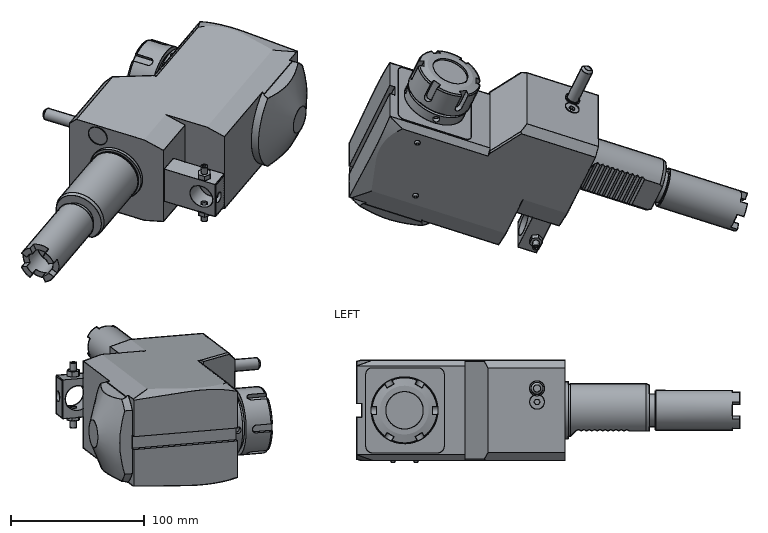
import cadquery as cq
import math


OVERALL_X = 163.5
OVERALL_Y = 286.25

HALF_H = 37.5
HOUSING_LEN = 155.75
FOOT_X = (-40.0, 39.0)
HEAD_X = (-9.75, 72.0)
HEAD_START_Y = 35.5
SHOULDER_Y = 75.0
SHOULDER_ANGLE = 30.0
SHOULDER_EDGE = 1.2
FOOT_BEVEL = 6.0
HEAD_BEVEL = 4.5
TAPER_ANGLE = math.radians(15.0)
TAPER = math.tan(TAPER_ANGLE)
FOOT_TAPER_X = 23.0
HEAD_TAPER_X = 57.5

REAR_CROWN_X = 19.0
REAR_CROWN_Y = 152.5
REAR_ARC_R = 38.0
REAR_SLOT_H = 10.0
REAR_SLOT_DEPTH = 4.0

TOOL_Y = 120.0
NUT_R = 25.0
NUT_FRONT_X = -42.4
NUT_BAND_X = -39.5
NUT_SHOULDER_X = -40.9
NUT_SHOULDER_R = 24.3
NUT_BACK_X = -20.0
NUT_FACE_R = 18.2
COLLET_R = 14.0
COLLET_DEPTH = 1.5
NUT_NECK_R = 21.0
COLLAR_R = 24.2
COLLAR_FRONT_X = -17.5
COLLAR_HOLE_D = 5.0
COLLAR_HOLE_DEPTH = 4.0
COLLAR_HOLE_COUNT = 4
NUT_SLOT_COUNT = 6
NUT_SLOT_W = 6.0
NUT_SLOT_DEPTH = 4.0
NUT_SLOT_END_X = -25.0

CAP_R = 40.3
CAP_RIM_X = 78.0
CAP_STEP_X = 74.0
CAP_STEP = 0.4
CAP_END_X = 92.0
CAP_END_R = 10.5
CAP_REAR_Y = 152.0

FLANGE_R = 21.5
FLANGE_END = 2.5
GROOVE_R = 19.5
GROOVE_END = 4.0
SHANK_R = 20.0
SHANK_END = 63.0
SHANK_BEVEL = 1.0
SHANK_BEVEL_LEN = 2.5
SHANK_NECK_R = 12.3
SPINDLE_START = 67.3
SPINDLE_R = 15.0
SPINDLE_EDGE = 0.7
TIP_SLOT_START = 125.0
TIP_END = OVERALL_Y - HOUSING_LEN
BORE_R = 10.0
BORE_DEPTH = 20.0
TIP_SLOT_COUNT = 4
TIP_SLOT_HALF_ANGLE = 25.0

FLAT_Z = -15.5
FLAT_START = 8.0
RACK_END = 49.0
RACK_PITCH = 4.0
RACK_DEPTH = 1.0

ARM_END_X = 82.2
ARM_Y = (1.3, 16.3)
ARM_HALF_H = 15.0
ARM_EDGE = 0.6
ARM_HOLE_X = 70.1
ARM_HOLE_R = 9.5
SCREW_Y = 6.2
SCREW_R = 2.5
SCREW_TIP_Z = 11.0
SCREW_HEX = 3.0
SCREW_HEX_DEPTH = 2.0
ARM_CROSS_R = 4.0
SCREW_END_Z = 25.0
SCREW_NUT_H = 4.0
SCREW_NUT_D = 10.0

PIN_Y = 21.0
PIN_Z = 16.4
PIN_R = 4.5
PIN_END_X = CAP_END_X - OVERALL_X
PIN_BEVEL = 1.8
PIN_COLLAR_R = 5.6
PIN_COLLAR_H = 1.0
SIDE_SCREW_Z = 6.3
SIDE_SCREW_R = 5.5
SIDE_SCREW_RECESS = 0.5
SIDE_SCREW_HEX = 4.5
SIDE_SCREW_HEX_DEPTH = 3.0
PLUG_X = -16.2
PLUG_Z = 27.9
PLUG_R = 7.8
PLUG_RECESS = 0.5
NOZZLE_CENTRE_X = 26.0
NOZZLE_OFFSET = (23.3, 8.6)
NOZZLE_R = 2.2
NOZZLE_TIP_R = 1.0
NOZZLE_H = 1.6
PLATE_Y = (90.3, 149.0)
PLATE_HALF_H = 31.8
PLATE_CORNER_R = 5.0
PLATE_H = 0.2


def box(x, y, z):
    """Box from (low, high) pairs along each axis."""
    size = (x[1] - x[0], y[1] - y[0], z[1] - z[0])
    return cq.Workplane("XY").box(*size, centered=False).translate((x[0], y[0], z[0]))


def section_along_y(points, y):
    """Prism with an (X, Z) section between two Y positions."""
    prism = cq.Workplane("XZ").polyline(points).close().extrude(y[0] - y[1])
    return prism.translate((0, y[0], 0))


def cylinder_x(radius, x, y, z):
    """Cylinder along X between two X positions."""
    return cq.Workplane("YZ", origin=(x[0], y, z)).circle(radius).extrude(x[1] - x[0])


def cylinder_y(radius, x, y, z):
    """Cylinder along Y between two Y positions."""
    return cq.Workplane("XZ", origin=(x, y[0], z)).circle(radius).extrude(y[0] - y[1])


def both_sides(shape):
    """A shape together with its mirror image below Z = 0."""
    return shape.union(shape.mirror("XY"))


def block_section(left, right, bevel, taper_x):
    """Block outline in X and Z: beveled on the left, tapered on the right."""
    right_z = HALF_H - (right - taper_x) * TAPER
    upper = [
        (left, HALF_H - bevel),
        (left + bevel, HALF_H),
        (taper_x, HALF_H),
        (right, right_z),
    ]
    lower = [(x, -z) for x, z in reversed(upper)]
    return upper + lower


def rear_bevel_cutter():
    """Material above the rear bevel, which falls 15 degrees toward the rear face.

    The bevel leaves the top face along an arc with a straight tangent on its right.
    """
    left_run = REAR_CROWN_X - HEAD_X[0]
    left_y = REAR_CROWN_Y - arc_drop(left_run)
    middle_x = REAR_CROWN_X - left_run / 2
    middle_y = REAR_CROWN_Y - arc_drop(left_run / 2)
    tangent_run = REAR_ARC_R * math.sin(TAPER_ANGLE)
    tangent_x = REAR_CROWN_X + tangent_run
    tangent_y = REAR_CROWN_Y - arc_drop(tangent_run)
    right_y = tangent_y - (HEAD_X[1] - tangent_x) * TAPER
    outline = (
        cq.Workplane("XY", origin=(0, 0, HALF_H))
        .moveTo(HEAD_X[0], left_y)
        .threePointArc((middle_x, middle_y), (tangent_x, tangent_y))
        .lineTo(HEAD_X[1], right_y)
        .lineTo(HEAD_X[1], HOUSING_LEN)
        .lineTo(HEAD_X[0], HOUSING_LEN)
        .close()
    )
    depth = HEAD_BEVEL * 2
    slant = cq.Vector(0, depth / TAPER, -depth)
    return cq.Workplane(cq.Solid.extrudeLinear(outline.wire().val(), [], slant))


def arc_drop(run):
    """Drop of the rear bevel's arc at a sideways distance from its crown."""
    return REAR_ARC_R - math.sqrt(REAR_ARC_R**2 - run**2)


def housing():
    foot = section_along_y(
        block_section(*FOOT_X, FOOT_BEVEL, FOOT_TAPER_X), (0, SHOULDER_Y)
    )
    shoulder_run = HEAD_X[0] - FOOT_X[0]
    shoulder_drop = shoulder_run * math.tan(math.radians(SHOULDER_ANGLE))
    foot_outline = [
        (FOOT_X[0], 0),
        (FOOT_X[1], 0),
        (FOOT_X[1], SHOULDER_Y),
        (HEAD_X[0], SHOULDER_Y),
        (FOOT_X[0], SHOULDER_Y - shoulder_drop),
    ]
    foot_prism = cq.Workplane("XY").polyline(foot_outline).close()
    foot = foot.intersect(foot_prism.extrude(HALF_H, both=True))
    shoulder = cq.Vector(shoulder_run, shoulder_drop, 0)
    foot = foot.edges(cq.selectors.ParallelDirSelector(shoulder)).chamfer(SHOULDER_EDGE)
    head = section_along_y(
        block_section(*HEAD_X, HEAD_BEVEL, HEAD_TAPER_X), (SHOULDER_Y, HOUSING_LEN)
    )
    overhang_points = block_section(0, HEAD_X[1], HEAD_BEVEL, HEAD_TAPER_X)
    overhang = section_along_y(overhang_points, (HEAD_START_Y, SHOULDER_Y))
    body = foot.union(head).union(overhang)
    body = body.cut(both_sides(rear_bevel_cutter()))
    slot_y = (HOUSING_LEN - REAR_SLOT_DEPTH, HOUSING_LEN)
    half_slot = REAR_SLOT_H / 2
    return body.cut(box(HEAD_X, slot_y, (-half_slot, half_slot)))


def end_cap():
    """Conical cap, trimmed by the head's tapers and a rear flat."""
    profile = [
        (HEAD_X[1], 0),
        (HEAD_X[1], CAP_R),
        (CAP_RIM_X, CAP_R),
        (CAP_END_X, CAP_END_R),
        (CAP_END_X, 0),
    ]
    cap = cq.Workplane("XY").polyline(profile).close()
    cap = cap.revolve(360, (0, 0, 0), (1, 0, 0)).translate((0, TOOL_Y, 0))
    wedge = block_section(HEAD_X[0], CAP_END_X, HEAD_BEVEL, HEAD_TAPER_X)
    span = (TOOL_Y - CAP_R, CAP_REAR_Y)
    cap = cap.intersect(section_along_y(wedge, span))
    clear = HALF_H - CAP_STEP - (CAP_STEP_X - HEAD_TAPER_X) * TAPER
    end_clear = clear - (CAP_END_X - CAP_STEP_X) * TAPER
    relief = [
        (CAP_STEP_X, clear),
        (CAP_STEP_X, HALF_H),
        (CAP_END_X, HALF_H),
        (CAP_END_X, end_clear),
    ]
    return cap.cut(both_sides(section_along_y(relief, span)))


def collet_head():
    """Collar, neck, clamping nut and recessed collet, turned about the tool axis."""
    profile = [
        (HEAD_X[0], 0),
        (HEAD_X[0], COLLAR_R),
        (COLLAR_FRONT_X, COLLAR_R),
        (COLLAR_FRONT_X, NUT_NECK_R),
        (NUT_BACK_X, NUT_NECK_R),
        (NUT_BACK_X, NUT_R),
        (NUT_BAND_X, NUT_R),
        (NUT_SHOULDER_X, NUT_SHOULDER_R),
        (NUT_FRONT_X, NUT_FACE_R),
        (NUT_FRONT_X, COLLET_R),
        (NUT_FRONT_X + COLLET_DEPTH, COLLET_R),
        (NUT_FRONT_X + COLLET_DEPTH, 0),
    ]
    head = cq.Workplane("XY").polyline(profile).close()
    head = head.revolve(360, (0, 0, 0), (1, 0, 0))

    slot_round_x = NUT_SLOT_END_X - NUT_SLOT_W / 2
    half_w = NUT_SLOT_W / 2
    slot = box((NUT_FRONT_X, slot_round_x), (-half_w, half_w), (0, NUT_R))
    slot = slot.union(
        cq.Workplane("XY").center(slot_round_x, 0).circle(half_w).extrude(NUT_R)
    )
    slot = slot.translate((0, 0, NUT_R - NUT_SLOT_DEPTH))
    for i in range(NUT_SLOT_COUNT):
        angle = 90 + i * 360 / NUT_SLOT_COUNT
        head = head.cut(slot.rotate((0, 0, 0), (1, 0, 0), angle))

    hole_x = (COLLAR_FRONT_X + HEAD_X[0]) / 2
    hole = cq.Workplane("XY").center(hole_x, 0).circle(COLLAR_HOLE_D / 2)
    hole = hole.extrude(COLLAR_R).translate((0, 0, COLLAR_R - COLLAR_HOLE_DEPTH))
    for i in range(COLLAR_HOLE_COUNT):
        angle = i * 360 / COLLAR_HOLE_COUNT
        head = head.cut(hole.rotate((0, 0, 0), (1, 0, 0), angle))
    return head.translate((0, TOOL_Y, 0))


def shank():
    """Turned shank and spindle with the toothed flat below the shank."""
    profile = [
        (0, 0),
        (FLANGE_R, 0),
        (FLANGE_R, -FLANGE_END),
        (GROOVE_R, -FLANGE_END),
        (GROOVE_R, -GROOVE_END),
        (SHANK_R, -GROOVE_END),
        (SHANK_R, -SHANK_END + SHANK_BEVEL_LEN),
        (SHANK_R - SHANK_BEVEL, -SHANK_END),
        (SHANK_NECK_R, -SHANK_END),
        (SHANK_NECK_R, -SPINDLE_START),
        (SPINDLE_R - SPINDLE_EDGE, -SPINDLE_START),
        (SPINDLE_R, -SPINDLE_START - SPINDLE_EDGE),
        (SPINDLE_R, -TIP_END),
        (0, -TIP_END),
    ]
    body = cq.Workplane("XY").polyline(profile).close()
    body = body.revolve(360, (0, 0, 0), (0, 1, 0))

    depth = FLANGE_R + FLAT_Z
    flat = [
        (-FLAT_START, FLAT_Z),
        (-FLAT_START + depth, FLAT_Z - depth),
        (-SHANK_END, FLAT_Z - depth),
        (-SHANK_END, FLAT_Z),
    ]
    flat_cut = cq.Workplane("YZ").polyline(flat).close().extrude(SHANK_R, both=True)
    body = body.cut(flat_cut)

    tooth_count = int((RACK_END - FLAT_START) / RACK_PITCH)
    for i in range(tooth_count):
        root_y = -FLAT_START - (i + 0.5) * RACK_PITCH
        notch = [
            (root_y - RACK_PITCH / 2, FLAT_Z),
            (root_y, FLAT_Z + RACK_DEPTH),
            (root_y + RACK_PITCH / 2, FLAT_Z),
        ]
        body = body.cut(
            cq.Workplane("YZ").polyline(notch).close().extrude(SHANK_R, both=True)
        )

    body = body.cut(cylinder_y(BORE_R, 0, (-TIP_END, -TIP_END + BORE_DEPTH), 0))
    half_w = SPINDLE_R * math.tan(math.radians(TIP_SLOT_HALF_ANGLE))
    wedge_points = [(0, 0), (half_w, SPINDLE_R), (-half_w, SPINDLE_R)]
    wedge = section_along_y(wedge_points, (-TIP_END, -TIP_SLOT_START))
    for i in range(TIP_SLOT_COUNT):
        angle = i * 360 / TIP_SLOT_COUNT
        body = body.cut(wedge.rotate((0, 0, 0), (0, 1, 0), angle))
    return body


def coolant_arm():
    """Drilled arm on the right with an end port, clamped by a set screw and nut above and below."""
    arm = box((FOOT_X[1], ARM_END_X), ARM_Y, (-ARM_HALF_H, ARM_HALF_H))
    arm = arm.faces(">X").edges().chamfer(ARM_EDGE)
    arm = arm.cut(cylinder_y(ARM_HOLE_R, ARM_HOLE_X, ARM_Y, 0))
    cross_x = (ARM_HOLE_X, ARM_END_X)
    arm = arm.cut(cylinder_x(ARM_CROSS_R, cross_x, SCREW_Y, 0))
    axis = cq.Workplane("XY").center(ARM_HOLE_X, SCREW_Y)
    arm = arm.cut(axis.circle(SCREW_R).extrude(SCREW_TIP_Z, both=True))
    screw = axis.workplane(SCREW_TIP_Z).circle(SCREW_R).extrude(SCREW_END_Z - SCREW_TIP_Z)
    screw = screw.cut(
        axis.workplane(SCREW_END_Z).polygon(6, SCREW_HEX).extrude(-SCREW_HEX_DEPTH)
    )
    nut = axis.workplane(ARM_HALF_H).polygon(6, SCREW_NUT_D).extrude(SCREW_NUT_H)
    return arm.union(both_sides(screw.union(nut)))


def locating_pin():
    left = FOOT_X[0]
    pin = cylinder_x(PIN_R, (PIN_END_X, left), PIN_Y, PIN_Z)
    pin = pin.faces("<X").chamfer(PIN_BEVEL)
    return pin.union(cylinder_x(PIN_COLLAR_R, (left - PIN_COLLAR_H, left), PIN_Y, PIN_Z))


def nozzles():
    """Two small conical nozzles on the bottom face."""
    dx, dy = NOZZLE_OFFSET
    points = [(NOZZLE_CENTRE_X - dx, TOOL_Y + dy), (NOZZLE_CENTRE_X + dx, TOOL_Y - dy)]
    cone = cq.Solid.makeCone(NOZZLE_R, NOZZLE_TIP_R, NOZZLE_H, dir=cq.Vector(0, 0, -1))
    spots = cq.Workplane("XY", origin=(0, 0, -HALF_H)).pushPoints(points)
    return spots.eachpoint(lambda place: cone.moved(place))


def mounting_plate():
    length = PLATE_Y[1] - PLATE_Y[0]
    centre_y = (PLATE_Y[0] + PLATE_Y[1]) / 2
    plate = cq.Workplane("YZ", origin=(HEAD_X[0], centre_y, 0))
    plate = plate.rect(length, 2 * PLATE_HALF_H).extrude(-PLATE_H)
    return plate.edges("|X").fillet(PLATE_CORNER_R)


def side_screw_recess():
    """Shallow seat and hexagonal socket below the pin."""
    left = FOOT_X[0]
    seat = cylinder_x(SIDE_SCREW_R, (left, left + SIDE_SCREW_RECESS), PIN_Y, SIDE_SCREW_Z)
    socket = cq.Workplane("YZ", origin=(left, PIN_Y, SIDE_SCREW_Z))
    return seat.union(socket.polygon(6, SIDE_SCREW_HEX).extrude(SIDE_SCREW_HEX_DEPTH))


result = (
    housing()
    .cut(side_screw_recess())
    .cut(cylinder_y(PLUG_R, PLUG_X, (0, PLUG_RECESS), PLUG_Z))
    .union(end_cap())
    .union(mounting_plate())
    .union(collet_head())
    .union(shank())
    .union(coolant_arm())
    .union(locating_pin())
    .union(nozzles())
)